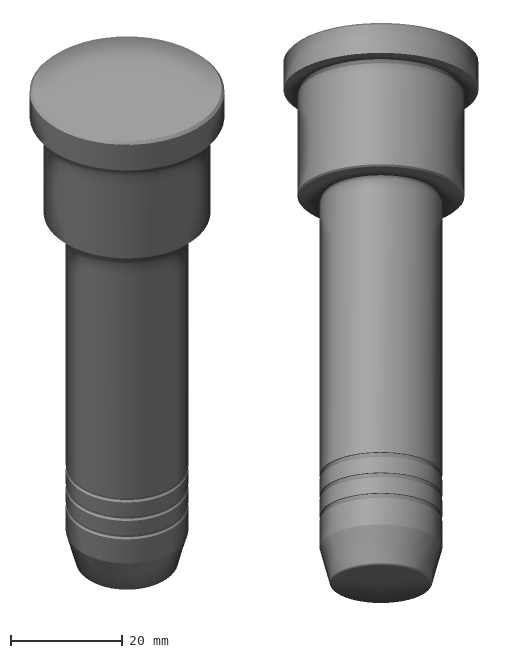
import cadquery as cq
import math

total_length = 102.0
head_radius = 35.0 / 2
head_height = 6.0
head_chamfer = 0.5
body_radius = 30.0 / 2
body_height = 20.9
body_chamfer = 0.3
shaft_radius = 22.0 / 2

head_relief_depth = 0.4
head_relief_height = 1.0
head_relief_straight = 0.6
body_relief_depth = 0.4
body_relief_height = 1.1

taper_height = 7.0
taper_angle = 15.0
tip_edge = 0.5

groove_count = 3
groove_pitch = 4.0
groove_height = 0.9
groove_straight = 0.6
groove_depth = 0.3
lowest_groove_z = 12.2

head_bottom = total_length - head_height
body_bottom = head_bottom - body_height
body_top = head_bottom - head_relief_height
head_relief_radius = body_radius - head_relief_depth
body_relief_radius = shaft_radius - body_relief_depth
shaft_top = body_bottom - body_relief_height
tip_radius = shaft_radius - taper_height * math.tan(math.radians(taper_angle))


def make_pin():
    """Revolve the stepped half-profile, including the sloped relief ends."""
    profile = [
        (0, 0),
        (tip_radius, 0),
        (shaft_radius, taper_height),
        (shaft_radius, shaft_top),
        (body_relief_radius, body_bottom),
        (body_radius - body_chamfer, body_bottom),
        (body_radius, body_bottom + body_chamfer),
        (body_radius, body_top),
        (head_relief_radius, head_bottom - head_relief_straight),
        (head_relief_radius, head_bottom),
        (head_radius, head_bottom),
        (head_radius, total_length - head_chamfer),
        (head_radius - head_chamfer, total_length),
        (0, total_length),
    ]
    pin = cq.Workplane("XZ").polyline(profile).close().revolve(360, (0, 0), (0, 1))
    return pin.faces("<Z").edges().fillet(tip_edge)


def make_groove(bottom_z):
    """Ring with a square upper shoulder and a sloped lower side, used to cut one groove."""
    top_z = bottom_z + groove_height
    floor_radius = shaft_radius - groove_depth
    profile = [
        (shaft_radius, bottom_z),
        (floor_radius, top_z - groove_straight),
        (floor_radius, top_z),
        (shaft_radius, top_z),
    ]
    return cq.Workplane("XZ").polyline(profile).close().revolve(360, (0, 0), (0, 1))


result = make_pin()
for index in range(groove_count):
    result = result.cut(make_groove(lowest_groove_z + index * groove_pitch))